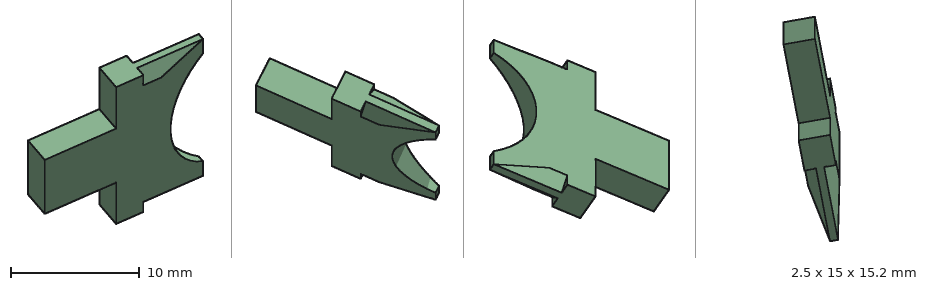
import cadquery as cq

thickness = 2.5
length = 15.0
height = 15.2

stem_length = 6.5
stem_height = 6.0
bar_depth = 2.5

tip_thickness = 0.64
taper_length = 4.4
bevel_height = 1.12

arc_radius = 6.99
arc_depth = 3.39

half_thickness = thickness / 2
half_tip = tip_thickness / 2
half_height = height / 2
bevel_start = half_height - bevel_height
bar_end = stem_length + bar_depth
taper_start = length - taper_length
arc_center_y = length - arc_depth + arc_radius


def block(y_start, y_end, block_height):
    """Full-thickness block between two Y stations, centred in X and Z."""
    return cq.Workplane("XY").box(
        thickness, y_end - y_start, block_height
    ).translate((0, (y_start + y_end) / 2, 0))


def make_blade():
    """Blade with bevelled top and bottom edges and sides tapering to the tips."""
    bevelled = (
        cq.Workplane("XZ", origin=(0, stem_length, 0))
        .moveTo(half_tip, half_height)
        .lineTo(half_thickness, bevel_start)
        .lineTo(half_thickness, -bevel_start)
        .lineTo(half_tip, -half_height)
        .lineTo(-half_tip, -half_height)
        .lineTo(-half_thickness, -bevel_start)
        .lineTo(-half_thickness, bevel_start)
        .lineTo(-half_tip, half_height)
        .close()
        .extrude(stem_length - length)
    )
    tapered = (
        cq.Workplane("XY")
        .moveTo(-half_thickness, stem_length)
        .lineTo(half_thickness, stem_length)
        .lineTo(half_thickness, taper_start)
        .lineTo(half_tip, length)
        .lineTo(-half_tip, length)
        .lineTo(-half_thickness, taper_start)
        .close()
        .extrude(half_height, both=True)
    )
    return bevelled.intersect(tapered)


def make_concave_cutter():
    """Cylinder along X that hollows the blade between its two tips."""
    return (
        cq.Workplane("YZ")
        .center(arc_center_y, 0)
        .circle(arc_radius)
        .extrude(thickness, both=True)
    )


stem = block(0, bar_end, stem_height)
bar = block(stem_length, bar_end, height)
blade = make_blade().cut(make_concave_cutter())

result = blade.union(bar).union(stem)